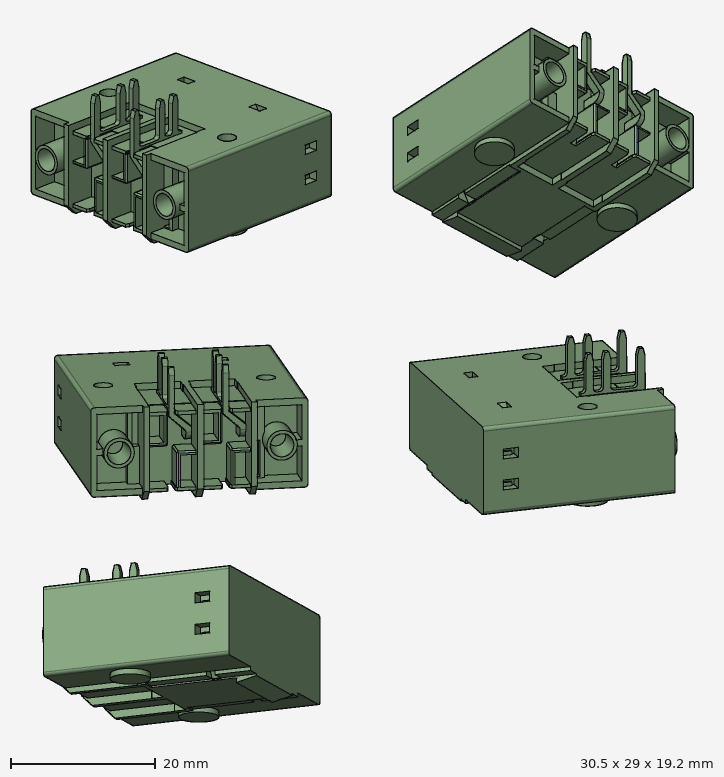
import cadquery as cq


WIDTH = 30.48
BODY_BACK = 28.1
BODY_TOP = 12.8
EDGE_RADIUS = 0.52
BASE_DROP = 0.8
FRONT_OVERHANG = 0.88
FRONT_DEPTH = 3.72

CELL_PITCH = 7.62
CELL_CENTERS = (-CELL_PITCH / 2, CELL_PITCH / 2)
PARTITION_WALL = 0.8
PARTITION_CHAMFER = 1.52
CENTER_WIDTH = 15.9
OUTER_PARTITION_X = (CENTER_WIDTH - PARTITION_WALL) / 2
PARTITION_MIDDLES = (-OUTER_PARTITION_X, 0.0, OUTER_PARTITION_X)
MIDDLE_WALL = 0.9

RECESS_BACK = 11.52
RECESS_STEP_Y = 9.75
RECESS_STEP = 0.12
RECESS_FLOOR_TOP = 11.83
RECESS_FLOOR_BOTTOM = 0.35

ROOF_BOTTOM = 11.22
ROOF_TOP = 11.75
FLOOR_PLATE_TOP = 0.82
ROOF_SLOT_WIDTH = 1.1
FLOOR_SLOT_WIDTH = 0.98
SLOT_FLARE_X = 0.25
SLOT_FLARE_Y = 0.5

SHROUD_WALL = 0.52
SHROUD_GAP = 1.25
SHROUD_CHAMFER = 0.25
UPPER_SHROUD_BOTTOM = 6.77
LOWER_SHROUD_TOP = 5.97

SIDE_WALL = 0.85
POCKET_BOTTOM = 0.95
POCKET_TOP = 11.83
LEDGE_Y = 2.55
LEDGE_X = 9.6
NOTCH_X = 8.95
NOTCH_SPLIT_Z = 6.3
NOTCH_INSET = 0.2
BOSS_X = 11.43
BOSS_Z = 6.4
BOSS_RADIUS = 2.13
BORE_MOUTH_RADIUS = 1.65
BORE_END_RADIUS = 1.3
BOSS_RIB_HEIGHT = 0.88

FOOT_Y = 11.45
FOOT_RADIUS = 2.77
DOWEL_RADIUS = 1.3
DOWEL_DEPTH = 1.13
LATCH_WIDTH = 11.95
BASE_RELIEF = 0.25
BASE_RELIEF_START = 12.2
LATCH_LENGTH = 3.05
LATCH_TIP_DROP = 1.45

TOP_CATCH_INNER_X = 5.88
TOP_CATCH_OUTER_X = 8.0
TOP_CATCH_Y = 21.4
TOP_CATCH_LENGTH = 1.3
TOP_CATCH_DEPTH = 3.5
SIDE_CATCH_Y = 22.98
SIDE_CATCH_LENGTH = 2.2
SIDE_CATCH_HEIGHT = 1.43
SIDE_CATCH_DEPTH = 1.83
SIDE_SILL_DEPTH = 1.37
SIDE_SILL_HEIGHT = 0.55
SIDE_SILL_INSET = 0.43
SIDE_CATCH_BOTTOMS = (3.4, 7.92)

PIN_TOP = 17.8
PIN_THICKNESS = 0.8
PIN_DEPTH = 1.13
PIN_FRONTS = (0.5, 5.5, 8.05)
PIN_TIP_LENGTH = 1.07
PIN_TIP_TAPER = 0.27
PIN_FOOT_RADIUS = 0.52
STRIP_BACK = 9.9
STRIP_TOP = 12.2
LEAD_OFFSET = 2.38
LEAD_BEND_TOP = 11.05
LEAD_BEND_BOTTOM = 8.9
LEAD_BOTTOM = 7.3
LEAD_HEIGHT = 1.37
LEAD_RADIUS = 1.22


def block(x0, x1, y0, y1, z0, z1):
    """Box between two opposite corners."""
    return cq.Workplane("XY").box(x1 - x0, y1 - y0, z1 - z0, centered=False).translate((x0, y0, z0))


def mirrored(shape):
    """The shape together with its mirror image across the middle of the width."""
    return shape.union(shape.mirror("YZ"))


def prism_along_y(points, y0, y1):
    """XZ outline extruded from y0 to y1."""
    return cq.Workplane("XZ", origin=(0, y0, 0)).polyline(points).close().extrude(y0 - y1)


def prism_along_x(points, x0, x1):
    """YZ outline extruded from x0 to x1."""
    return cq.Workplane("YZ", origin=(x0, 0, 0)).polyline(points).close().extrude(x1 - x0)


def make_body():
    half = WIDTH / 2
    base_edge = CENTER_WIDTH / 2
    body = block(-half, half, 0, BODY_BACK, 0, BODY_TOP).edges("|Y").fillet(EDGE_RADIUS)
    base = block(-base_edge, base_edge, 0, BODY_BACK, -BASE_DROP, BODY_TOP / 2)
    relief = block(
        LATCH_WIDTH / 2, base_edge, BASE_RELIEF_START, BODY_BACK, -BASE_DROP, BASE_RELIEF - BASE_DROP
    )
    base = base.cut(mirrored(relief))
    feet = (
        cq.Workplane("XY", origin=(0, 0, -BASE_DROP))
        .pushPoints([(-BOSS_X, FOOT_Y), (BOSS_X, FOOT_Y)])
        .circle(FOOT_RADIUS)
        .extrude(BASE_DROP + EDGE_RADIUS)
    )
    latch = prism_along_x(
        [
            (BODY_BACK, -BASE_DROP),
            (BODY_BACK - LATCH_LENGTH, -LATCH_TIP_DROP),
            (BODY_BACK - LATCH_LENGTH, 0),
            (BODY_BACK, 0),
        ],
        -LATCH_WIDTH / 2,
        LATCH_WIDTH / 2,
    )
    return body.union(base).union(feet).union(latch)


def make_side_pockets():
    """Hollows beside the outer partitions, with a ledge and a notch in it."""
    inner = CENTER_WIDTH / 2
    outer = WIDTH / 2 - SIDE_WALL
    pocket = block(inner, outer, 0, LEDGE_Y, POCKET_BOTTOM, POCKET_TOP)
    pocket = pocket.union(block(LEDGE_X, outer, 0, FRONT_DEPTH, POCKET_BOTTOM, POCKET_TOP))
    left_notch = block(-NOTCH_X, -inner, 0, FRONT_DEPTH, NOTCH_SPLIT_Z, POCKET_TOP - NOTCH_INSET)
    right_notch = block(inner, NOTCH_X, 0, FRONT_DEPTH, POCKET_BOTTOM + NOTCH_INSET, NOTCH_SPLIT_Z)
    return mirrored(pocket).union(left_notch).union(right_notch)


def make_boss():
    """Right-hand screw boss with the rib that ties it to the side wall."""
    start = cq.Workplane("XZ", origin=(BOSS_X, -FRONT_OVERHANG, BOSS_Z))
    length = FRONT_OVERHANG + FRONT_DEPTH
    boss = start.circle(BOSS_RADIUS).extrude(-length)
    half_rib = BOSS_RIB_HEIGHT / 2
    rib = block(BOSS_X, WIDTH / 2 - SIDE_WALL, 0, FRONT_DEPTH, BOSS_Z - half_rib, BOSS_Z + half_rib)
    bore = cq.Workplane(
        cq.Solid.makeCone(
            BORE_MOUTH_RADIUS, BORE_END_RADIUS, length,
            pnt=cq.Vector(BOSS_X, -FRONT_OVERHANG, BOSS_Z), dir=cq.Vector(0, 1, 0),
        )
    )
    return boss.union(rib).cut(bore)


def make_partitions():
    slab_profile = [
        (FRONT_DEPTH, -BASE_DROP),
        (PARTITION_CHAMFER - FRONT_OVERHANG, -BASE_DROP),
        (-FRONT_OVERHANG, PARTITION_CHAMFER - BASE_DROP),
        (-FRONT_OVERHANG, BODY_TOP),
        (FRONT_DEPTH, BODY_TOP),
    ]
    slabs = cq.Workplane("XY")
    for x in PARTITION_MIDDLES:
        half = (MIDDLE_WALL if x == 0 else PARTITION_WALL) / 2
        slabs = slabs.union(prism_along_x(slab_profile, x - half, x + half))
    return slabs


def cell_sides(center):
    """Left and right limits of a cell in X."""
    near = MIDDLE_WALL / 2
    far = OUTER_PARTITION_X - PARTITION_WALL / 2
    return (-far, -near) if center < 0 else (near, far)


def make_recesses(center):
    """Stepped relief above and below a cell."""
    left, right = cell_sides(center)
    recesses = cq.Workplane("XY")
    for z0, z1 in ((-BASE_DROP, RECESS_FLOOR_BOTTOM), (RECESS_FLOOR_TOP, BODY_TOP)):
        wide = block(left, right, 0, RECESS_STEP_Y, z0, z1)
        narrow = block(left + RECESS_STEP, right - RECESS_STEP, 0, RECESS_BACK, z0, z1)
        recesses = recesses.union(wide).union(narrow)
    return recesses


def make_shroud(x0, x1, z0, z1, free_edges):
    """Solid block of a shroud, bevelled on its free front and corner edges."""
    shroud = block(x0, x1, 0, FRONT_DEPTH, z0, z1)
    for selector in free_edges:
        shroud = shroud.edges(selector).chamfer(SHROUD_CHAMFER)
    return shroud


def make_slotted_plate(center, slot_width, z0, z1):
    """Plate spanning a cell, split by a slot with a flared mouth."""
    left, right = cell_sides(center)
    half_slot = slot_width / 2
    mouth = half_slot + SLOT_FLARE_X
    slot = (
        cq.Workplane("XY", origin=(center, 0, z0))
        .polyline([
            (-mouth, 0), (-half_slot, SLOT_FLARE_Y), (-half_slot, FRONT_DEPTH),
            (half_slot, FRONT_DEPTH), (half_slot, SLOT_FLARE_Y), (mouth, 0),
        ])
        .close()
        .extrude(z1 - z0)
    )
    return block(left, right, 0, FRONT_DEPTH, z0, z1).cut(slot)


def make_cell(center):
    """Roof and floor plates with the upper-left and lower-right shrouds."""
    left, right = cell_sides(center)
    roof = make_slotted_plate(center, ROOF_SLOT_WIDTH, ROOF_BOTTOM, ROOF_TOP)
    floor = make_slotted_plate(center, FLOOR_SLOT_WIDTH, RECESS_FLOOR_BOTTOM, FLOOR_PLATE_TOP)

    upper_edge = center - SHROUD_GAP / 2
    lower_edge = center + SHROUD_GAP / 2
    upper = make_shroud(
        left, upper_edge, UPPER_SHROUD_BOTTOM, ROOF_TOP, (">X and <Z", ">X and <Y", "<Y and <Z")
    )
    lower = make_shroud(
        lower_edge, right, RECESS_FLOOR_BOTTOM, LOWER_SHROUD_TOP, ("<X and >Z", "<X and <Y", "<Y and >Z")
    )
    upper_hollow = block(
        left, upper_edge - SHROUD_WALL, 0, FRONT_DEPTH, UPPER_SHROUD_BOTTOM + SHROUD_WALL, ROOF_BOTTOM
    )
    lower_hollow = block(
        lower_edge + SHROUD_WALL, right, 0, FRONT_DEPTH, FLOOR_PLATE_TOP, LOWER_SHROUD_TOP - SHROUD_WALL
    )
    shell = upper.union(lower).cut(upper_hollow).cut(lower_hollow)
    return roof.union(floor).union(shell)


def make_pins(center):
    """Three upright pins on a strip, with the front pin jogging down to a lead."""
    half = PIN_THICKNESS / 2
    x0, x1 = center - half, center + half
    strip_front = PIN_FRONTS[0]
    pins = block(x0, x1, strip_front, STRIP_BACK, RECESS_FLOOR_TOP, STRIP_TOP)
    for front in PIN_FRONTS:
        back = front + PIN_DEPTH
        shoulder = PIN_TOP - PIN_TIP_LENGTH
        profile = [
            (front, RECESS_FLOOR_TOP), (back, RECESS_FLOOR_TOP), (back, shoulder),
            (back - PIN_TIP_TAPER, PIN_TOP), (front + PIN_TIP_TAPER, PIN_TOP), (front, shoulder),
        ]
        pins = pins.union(prism_along_x(profile, x0, x1))

    last_pin_back = PIN_FRONTS[-1] + PIN_DEPTH
    pin_feet = cq.selectors.BoxSelector(
        (x0, strip_front, RECESS_FLOOR_TOP + PIN_FOOT_RADIUS / 2),
        (x1, (last_pin_back + STRIP_BACK) / 2, STRIP_TOP + PIN_FOOT_RADIUS),
    )
    pins = pins.edges("|X").edges(pin_feet).fillet(PIN_FOOT_RADIUS)

    lead_x0, lead_x1 = x0 + LEAD_OFFSET, x1 + LEAD_OFFSET
    lead_top = LEAD_BOTTOM + LEAD_HEIGHT
    jog = prism_along_y(
        [
            (x0, RECESS_FLOOR_TOP), (x0, LEAD_BEND_TOP - half / 2), (lead_x0, LEAD_BEND_BOTTOM - half / 2),
            (lead_x0, lead_top), (lead_x1, lead_top), (lead_x1, LEAD_BEND_BOTTOM + half),
            (x1, LEAD_BEND_TOP + half / 2), (x1, RECESS_FLOOR_TOP),
        ],
        strip_front, strip_front + PIN_DEPTH,
    )
    lead = block(lead_x0, lead_x1, strip_front, FRONT_DEPTH, LEAD_BOTTOM, lead_top)
    lead = lead.edges("<Y and <Z").fillet(LEAD_RADIUS)
    return pins.union(jog).union(lead)


def make_dowel_holes():
    return (
        cq.Workplane("XY", origin=(0, 0, BODY_TOP - DOWEL_DEPTH))
        .pushPoints([(-BOSS_X, FOOT_Y), (BOSS_X, FOOT_Y)])
        .circle(DOWEL_RADIUS)
        .extrude(DOWEL_DEPTH)
    )


def make_face_catches():
    """Openings in the top and underside whose floor ramps down outwards."""
    catches = cq.Workplane("XY")
    for surface, depth in ((BODY_TOP, -TOP_CATCH_DEPTH), (-BASE_DROP, TOP_CATCH_DEPTH)):
        wedge = [
            (TOP_CATCH_INNER_X, surface),
            (TOP_CATCH_OUTER_X, surface),
            (TOP_CATCH_OUTER_X, surface + depth),
        ]
        catches = catches.union(prism_along_y(wedge, TOP_CATCH_Y, TOP_CATCH_Y + TOP_CATCH_LENGTH))
    return mirrored(catches)


def make_side_catches():
    """Blind openings in the side walls with a low sill across most of the back."""
    outer = WIDTH / 2
    inner = outer - SIDE_CATCH_DEPTH
    back = SIDE_CATCH_Y + SIDE_CATCH_LENGTH
    catches = cq.Workplane("XY")
    for z in SIDE_CATCH_BOTTOMS:
        opening = block(inner, outer, SIDE_CATCH_Y, back, z, z + SIDE_CATCH_HEIGHT)
        sill = block(
            inner, outer - SIDE_SILL_DEPTH, SIDE_CATCH_Y + SIDE_SILL_INSET, back, z, z + SIDE_SILL_HEIGHT
        )
        catches = catches.union(opening.cut(sill))
    return mirrored(catches)


cell_space = block(-CENTER_WIDTH / 2, CENTER_WIDTH / 2, 0, FRONT_DEPTH, -BASE_DROP, BODY_TOP)
result = make_body().cut(cell_space).cut(make_side_pockets())
result = result.union(make_partitions()).union(mirrored(make_boss()))
for cell_center in CELL_CENTERS:
    result = result.cut(make_recesses(cell_center))
    result = result.union(make_cell(cell_center)).union(make_pins(cell_center))
result = result.cut(make_dowel_holes()).cut(make_face_catches()).cut(make_side_catches())